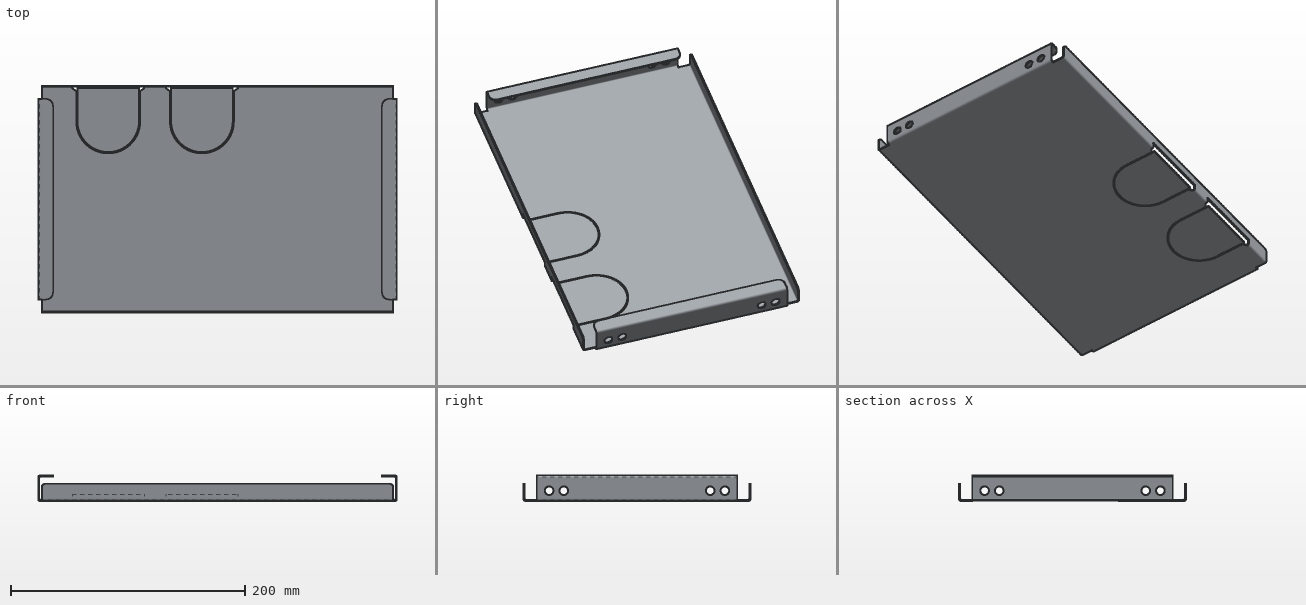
import cadquery as cq

thickness = 1.2
inner_bend_radius = 1.0
outer_bend_radius = inner_bend_radius + thickness

overall_length = 306.4
overall_width = 194.0
overall_height = 22.2

long_flange_length = 300.0
long_flange_height = 15.0
long_flange_corner_radius = 3.0

side_flange_width = 171.2
lip_depth = 12.8
lip_corner_radius = 6.0

hole_diameter = 7.2
hole_height = 9.0
hole_positions_y = (-75.0, -62.5, 62.5, 75.0)

tab_positions_x = (-93.3, -13.3)
tab_radius = 26.4
slit_width = 0.8
slit_radius = tab_radius + slit_width
tab_reach = 57.7
bridge_width = 0.6
tab_end_gap = 2.2
opening_height = 6.0
opening_flare = 3.5
flare_depth = 2.5

rear_y = overall_width / 2
tab_center_y = rear_y - tab_reach + slit_radius
tab_end_y = rear_y - tab_end_gap


def centered_box(length, width, height):
    """Box centred on X and Y, standing on Z = 0."""
    return cq.Workplane("XY").box(length, width, height, centered=(True, True, False))


def floor_with_long_flanges():
    """Floor bent up at the front and rear edges, with rounded flange corners."""
    outside = centered_box(long_flange_length, overall_width, long_flange_height)
    outside = outside.edges("|X and <Z").fillet(outer_bend_radius)
    outside = outside.edges("|Y and >Z").fillet(long_flange_corner_radius)
    inside = centered_box(long_flange_length, overall_width - 2 * thickness, overall_height)
    inside = inside.edges("|X and <Z").fillet(inner_bend_radius)
    return outside.cut(inside.translate((0, 0, thickness)))


def floor_with_side_flanges():
    """Floor bent up at the left and right edges and folded inward into lips."""
    outside = centered_box(overall_length, side_flange_width, overall_height)
    outside = outside.edges("|Y").fillet(outer_bend_radius)
    inside = centered_box(
        overall_length - 2 * thickness, side_flange_width, overall_height - 2 * thickness
    )
    inside = inside.edges("|Y").fillet(inner_bend_radius)
    channel = outside.cut(inside.translate((0, 0, thickness)))

    lip_gap = overall_length - 2 * lip_depth
    channel = channel.cut(
        centered_box(lip_gap, side_flange_width, overall_height).translate((0, 0, thickness))
    )
    lip_corners = cq.selectors.BoxSelector(
        (-lip_gap, -side_flange_width, overall_height - outer_bend_radius),
        (lip_gap, side_flange_width, overall_height + outer_bend_radius),
    )
    return channel.edges("|Z").edges(lip_corners).fillet(lip_corner_radius)


def side_holes():
    """Cylinders that drill both side flanges along X."""
    return (
        cq.Workplane("YZ")
        .pushPoints([(y, hole_height) for y in hole_positions_y])
        .circle(hole_diameter / 2)
        .extrude(overall_length / 2, both=True)
    )


def tongue(radius, end_y, height):
    """Upright prism with a round front end, running back to end_y."""
    return (
        cq.Workplane("XY")
        .moveTo(-radius, end_y)
        .lineTo(-radius, tab_center_y)
        .threePointArc((0, tab_center_y - radius), (radius, tab_center_y))
        .lineTo(radius, end_y)
        .close()
        .extrude(height)
    )


def flared_opening():
    """Opening across the rear bend that widens from the slit into the flange."""
    inner_end = tab_end_y - flare_depth
    half_width = slit_radius + opening_flare
    return (
        cq.Workplane("XY")
        .moveTo(-slit_radius, inner_end)
        .lineTo(slit_radius, inner_end)
        .lineTo(half_width, tab_end_y)
        .lineTo(half_width, rear_y)
        .lineTo(-half_width, rear_y)
        .lineTo(-half_width, tab_end_y)
        .close()
        .extrude(opening_height)
    )


def tab_cutout():
    """Material removed around one tab, leaving a small bridge at its round end."""
    bridge = centered_box(bridge_width, 2 * slit_width, thickness)
    bridge = bridge.translate((0, tab_center_y - tab_radius - slit_width / 2, 0))
    cutout = tongue(slit_radius, tab_end_y, thickness).union(flared_opening())
    return cutout.cut(tongue(tab_radius, tab_end_y, thickness)).cut(bridge)


result = floor_with_long_flanges().union(floor_with_side_flanges()).cut(side_holes())
for tab_x in tab_positions_x:
    result = result.cut(tab_cutout().translate((tab_x, 0, 0)))